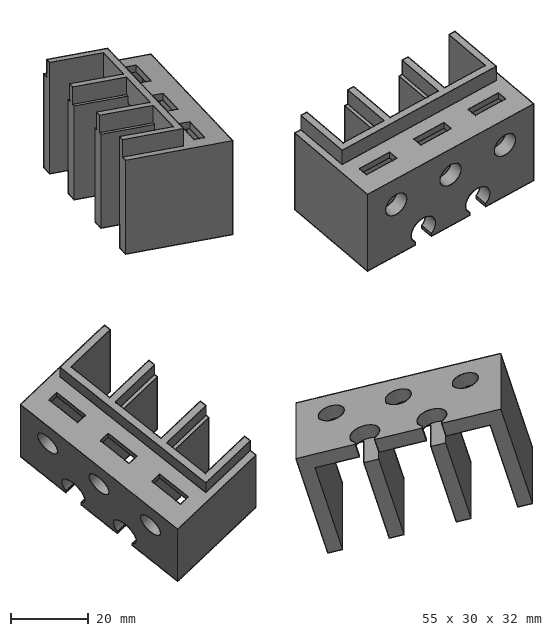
import cadquery as cq

length = 55.0
depth = 30.0
block_height = 27.0
rim_height = 32.0
wall = 4.0
rim_wall = wall / 2
bay_count = 3
pitch = 18.0
bay_front_depth = 15.0
slot_length = 10.0
slot_width = 2.95
slot_front = 21.0
hole_diameter = 7.0
hole_height = 18.0
keyhole_diameter = 8.0
keyhole_height = 4.0
keyhole_neck = 5.2

roof_underside = block_height - rim_wall
back_wall_front = depth - wall
divider_depth = slot_front + slot_width
bay_centers = [(i - (bay_count - 1) / 2) * pitch for i in range(bay_count)]
divider_centers = [(a + b) / 2 for a, b in zip(bay_centers, bay_centers[1:])]
rim_length = length - 2 * rim_wall


def box(x_center, x_size, y_range, z_range):
    """Box centred on x_center, spanning the given Y and Z ranges."""
    y_start, y_end = y_range
    z_start, z_end = z_range
    size = (x_size, y_end - y_start, z_end - z_start)
    corner = (x_center - x_size / 2, y_start, z_start)
    return cq.Workplane("XY").box(*size, centered=False).translate(corner)


def cylinder_through_back(x, z, diameter):
    """Cutter along Y that spans the back wall."""
    return (
        cq.Workplane("XZ", origin=(x, back_wall_front, z))
        .circle(diameter / 2)
        .extrude(-wall)
    )


def shell():
    """Block with one wide cavity under the roof, open to the front and the bottom."""
    inner_length = length - 2 * wall
    block = box(0, length, (0, depth), (0, block_height))
    cavity = box(0, inner_length, (0, back_wall_front), (0, roof_underside))
    front_opening = box(0, inner_length, (0, bay_front_depth), (roof_underside, block_height))
    return block.cut(cavity).cut(front_opening)


def rim():
    """Raised U-shaped rim along the lip of the roof and the tops of the side walls."""
    z_range = (block_height, rim_height)
    outer = box(0, rim_length, (0, bay_front_depth + rim_wall), z_range)
    inner = box(0, length - 2 * wall, (0, bay_front_depth), z_range)
    return outer.cut(inner)


def divider(x):
    """Partition between two bays, with a thinner raised rib on top."""
    panel = box(x, wall, (0, divider_depth), (0, block_height))
    rib = box(x, rim_wall, (0, bay_front_depth), (block_height, rim_height))
    return panel.union(rib)


def keyhole(x):
    """Round opening in the back wall with a neck running down to the bottom edge."""
    neck = box(x, keyhole_neck, (back_wall_front, depth), (0, keyhole_height))
    return cylinder_through_back(x, keyhole_height, keyhole_diameter).union(neck)


def roof_slot(x):
    """Rectangular opening through the roof above a bay."""
    y_range = (slot_front, slot_front + slot_width)
    return box(x, slot_length, y_range, (roof_underside, block_height))


def make_housing():
    """Housing with its bays, dividers and openings as one solid."""
    body = shell().union(rim())
    for x in divider_centers:
        body = body.union(divider(x))
    for x in divider_centers:
        body = body.cut(keyhole(x))
    for x in bay_centers:
        body = body.cut(roof_slot(x))
        body = body.cut(cylinder_through_back(x, hole_height, hole_diameter))
    return body.clean()


housing = make_housing()

result = cq.Compound.makeCompound([housing.val()])